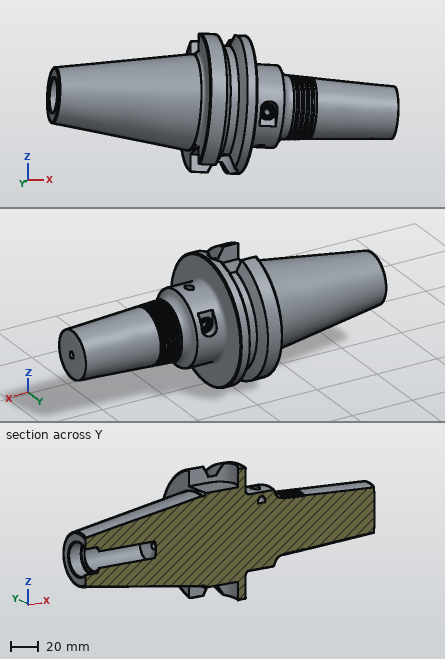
import cadquery as cq
import math


total_length = 251.8
shank_length = 101.7
shank_end_radius = 20.1
shank_taper = 7 / 48
shank_edge_chamfer = 0.8
neck_diameter = 69.0
neck_length = 3.0
neck_fillet = 2.3

flange_diameter = 100.0
flange_length = 35.0
flange_edge_chamfer = 0.8
flange_rear_land = 12.3
groove_floor_diameter = 84.0
groove_floor_width = 6.0
groove_side_angle = 30.0

slot_width = 25.7
slot_floor_height = 35.5
slot_length = 31.2

collar_diameter = 60.0
collar_end = 164.2
collar_root_fillet = 3.0
collar_edge_chamfer_length = 1.0
collar_edge_chamfer_depth = 0.3
bevel_length = 1.3
bevel_depth = 2.3
shoulder_radius = 6.3

nose_start = 171.5
nose_start_radius = 23.2
nose_land_diameter = 38.5
nose_land_start = 246.8
nose_end_diameter = 38.0
nose_face_crown = 0.8
nose_face_diameter = 27.7

ring_start = 173.0
ring_count = 5
ring_pitch = 3.8
ring_width = 2.0
ring_depth = 0.5

mouth_diameter = 26.5
mouth_chamfer = 0.5
pilot_diameter = 25.5
pilot_depth = 10.8
pilot_floor_diameter = 25.0
seat_diameter = 24.0
seat_floor_diameter = 21.5
thread_chamfer_depth = 1.5
thread_diameter = 21.0
thread_depth = 60.5
drill_point_angle = 118.0
coolant_diameter = 5.0

cross_feature_x = 153.3
pocket_width = 12.0
pocket_floor = 22.5
screw_offset = 9.3
screw_diameter = 11.0
screw_chamfer = 1.5
socket_diameter = 5.8
socket_depth = 2.5
oblique_diameter = 6.0
oblique_depth = 12.5
oblique_angle = 43.0


def drill_point_length(diameter):
    return diameter / 2 / math.tan(math.radians(drill_point_angle / 2))


def turned_body():
    flange_start = shank_length + neck_length
    flange_end = flange_start + flange_length
    flange_radius = flange_diameter / 2
    neck_radius = neck_diameter / 2
    collar_radius = collar_diameter / 2
    groove_radius = groove_floor_diameter / 2
    groove_run = (flange_radius - groove_radius) * math.tan(math.radians(groove_side_angle))
    groove_start = flange_start + flange_rear_land
    floor_start = groove_start + groove_run
    floor_end = floor_start + groove_floor_width
    groove_end = floor_end + groove_run
    nose_radius = nose_end_diameter / 2
    edge_radius = collar_radius - collar_edge_chamfer_depth
    bevel_end = collar_end + bevel_length
    return (
        cq.Workplane("XY")
        .moveTo(0, 0)
        .lineTo(0, shank_end_radius - shank_edge_chamfer)
        .lineTo(shank_edge_chamfer, shank_end_radius + shank_edge_chamfer * shank_taper)
        .lineTo(shank_length, shank_end_radius + shank_length * shank_taper)
        .lineTo(shank_length, neck_radius)
        .lineTo(flange_start - neck_fillet, neck_radius)
        .radiusArc((flange_start, neck_radius + neck_fillet), -neck_fillet)
        .lineTo(flange_start, flange_radius - flange_edge_chamfer)
        .lineTo(flange_start + flange_edge_chamfer, flange_radius)
        .lineTo(groove_start, flange_radius)
        .lineTo(floor_start, groove_radius)
        .lineTo(floor_end, groove_radius)
        .lineTo(groove_end, flange_radius)
        .lineTo(flange_end - flange_edge_chamfer, flange_radius)
        .lineTo(flange_end, flange_radius - flange_edge_chamfer)
        .lineTo(flange_end, collar_radius + collar_root_fillet)
        .radiusArc((flange_end + collar_root_fillet, collar_radius), -collar_root_fillet)
        .lineTo(collar_end - collar_edge_chamfer_length, collar_radius)
        .lineTo(collar_end, edge_radius)
        .lineTo(bevel_end, edge_radius - bevel_depth)
        .radiusArc((nose_start, nose_start_radius), -shoulder_radius)
        .lineTo(nose_land_start, nose_land_diameter / 2)
        .lineTo(total_length - nose_face_crown, nose_radius)
        .lineTo(total_length, nose_face_diameter / 2)
        .lineTo(total_length, 0)
        .close()
        .revolve(360, (0, 0, 0), (1, 0, 0))
    )


def axial_bore():
    thread_radius = thread_diameter / 2
    pilot_floor_chamfer = (pilot_diameter - pilot_floor_diameter) / 2
    coolant_radius = coolant_diameter / 2
    seat_end = pilot_depth + thread_chamfer_depth
    point_length = drill_point_length(thread_diameter) - drill_point_length(coolant_diameter)
    return (
        cq.Workplane("XY")
        .moveTo(0, 0)
        .lineTo(0, mouth_diameter / 2)
        .lineTo(mouth_chamfer, pilot_diameter / 2)
        .lineTo(pilot_depth - pilot_floor_chamfer, pilot_diameter / 2)
        .lineTo(pilot_depth, pilot_floor_diameter / 2)
        .lineTo(pilot_depth, seat_diameter / 2)
        .lineTo(seat_end, seat_floor_diameter / 2)
        .lineTo(seat_end, thread_radius)
        .lineTo(thread_depth, thread_radius)
        .lineTo(thread_depth + point_length, coolant_radius)
        .lineTo(total_length, coolant_radius)
        .lineTo(total_length, 0)
        .close()
        .revolve(360, (0, 0, 0), (1, 0, 0))
    )


def cooling_ring(start):
    slope = (nose_start_radius - nose_land_diameter / 2) / (nose_land_start - nose_start)
    floor_radius = nose_start_radius - slope * (start - nose_start) - ring_depth
    ring = cq.Workplane("YZ", origin=(start, 0, 0))
    return ring.circle(nose_start_radius + ring_depth).circle(floor_radius).extrude(ring_width)


def drive_slot():
    flange_start = shank_length + neck_length
    straight_length = slot_length - slot_width / 2
    height = flange_diameter / 2
    return (
        cq.Workplane("XY", origin=(0, 0, slot_floor_height))
        .moveTo(shank_length, -slot_width / 2)
        .lineTo(flange_start + straight_length, -slot_width / 2)
        .threePointArc((flange_start + slot_length, 0), (flange_start + straight_length, slot_width / 2))
        .lineTo(shank_length, slot_width / 2)
        .close()
        .extrude(height)
    )


def screw_pocket():
    half_width = pocket_width / 2
    pocket_depth = collar_diameter / 2 - pocket_floor
    floor = cq.Workplane("XZ", origin=(cross_feature_x, -pocket_floor, -screw_offset))
    pocket = (
        floor.moveTo(-half_width, 0)
        .threePointArc((0, half_width), (half_width, 0))
        .lineTo(half_width, -collar_diameter / 2)
        .lineTo(-half_width, -collar_diameter / 2)
        .close()
        .extrude(pocket_depth)
    )
    screw_radius = screw_diameter / 2
    tip_radius = screw_radius - screw_chamfer
    socket_radius = socket_diameter / 2
    axis_end = (0, 1, 0)
    rim = (
        cq.Workplane("XY", origin=(cross_feature_x, -pocket_floor, -screw_offset))
        .moveTo(tip_radius, 0)
        .lineTo(screw_radius, 0)
        .lineTo(screw_radius, screw_chamfer)
        .close()
        .revolve(360, (0, 0, 0), axis_end)
    )
    socket = (
        cq.Workplane("XY", origin=(cross_feature_x, -pocket_floor, -screw_offset))
        .moveTo(0, 0)
        .lineTo(socket_radius, 0)
        .lineTo(socket_radius, socket_depth)
        .lineTo(0, socket_depth + drill_point_length(socket_diameter))
        .close()
        .revolve(360, (0, 0, 0), axis_end)
    )
    return pocket.union(rim).union(socket)


def oblique_hole():
    angle = math.radians(oblique_angle)
    direction = cq.Vector(0, -math.sin(angle), -math.cos(angle))
    entry = cq.Vector(cross_feature_x, 0, collar_diameter / 2)
    run_out = oblique_diameter
    start = entry - direction * run_out
    return cq.Workplane(
        cq.Solid.makeCylinder(oblique_diameter / 2, oblique_depth + run_out, start, direction)
    )


result = turned_body().cut(axial_bore())

for ring_index in range(ring_count):
    result = result.cut(cooling_ring(ring_start + ring_index * ring_pitch))

for make_cutter in (drive_slot, screw_pocket, oblique_hole):
    cutter = make_cutter()
    opposite_cutter = cutter.rotate((0, 0, 0), (1, 0, 0), 180)
    result = result.cut(cutter).cut(opposite_cutter)